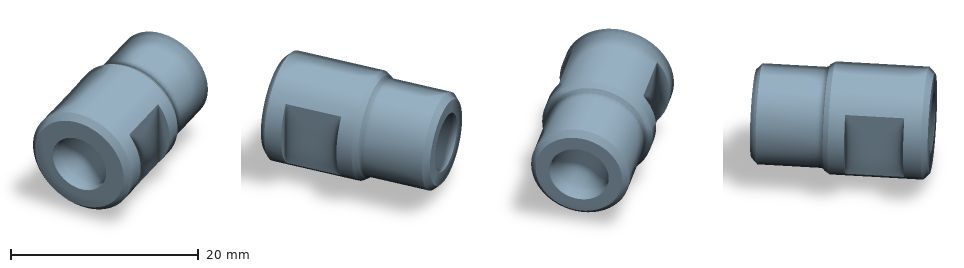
import cadquery as cq
import math

length = 19.05
body_diameter = 12.05
body_radius = body_diameter / 2
neck_radius = 5.4
bore_radius = 3.25
end_chamfer = 0.65

shoulder_start = 10.61
neck_start = 11.62
shoulder_top_radius = 5.68
fillet_radius = 0.48

flat_start = 2.55
flat_end = 8.88
across_flats = 9.25


def make_sleeve():
    """Revolve the stepped half-section, bore included, about the Y axis."""
    center_x = neck_radius + fillet_radius
    fillet_angle = math.acos((center_x - shoulder_top_radius) / fillet_radius)

    def fillet_point(angle):
        return (
            center_x - fillet_radius * math.cos(angle),
            neck_start - fillet_radius * math.sin(angle),
        )

    return (
        cq.Workplane("XY")
        .moveTo(bore_radius, 0)
        .lineTo(body_radius - end_chamfer, 0)
        .lineTo(body_radius, end_chamfer)
        .lineTo(body_radius, shoulder_start)
        .lineTo(*fillet_point(fillet_angle))
        .threePointArc(fillet_point(fillet_angle / 2), (neck_radius, neck_start))
        .lineTo(neck_radius, length - end_chamfer)
        .lineTo(neck_radius - end_chamfer, length)
        .lineTo(bore_radius, length)
        .close()
        .revolve(360, (0, 0, 0), (0, 1, 0))
    )


def make_flat_cutter(side):
    """Block that removes the material outside one wrench flat."""
    cutter_size = body_diameter
    return cq.Workplane("XY").box(
        cutter_size, flat_end - flat_start, cutter_size
    ).translate(
        (side * (across_flats + cutter_size) / 2, (flat_start + flat_end) / 2, 0)
    )


result = make_sleeve()
for side in (-1, 1):
    result = result.cut(make_flat_cutter(side))